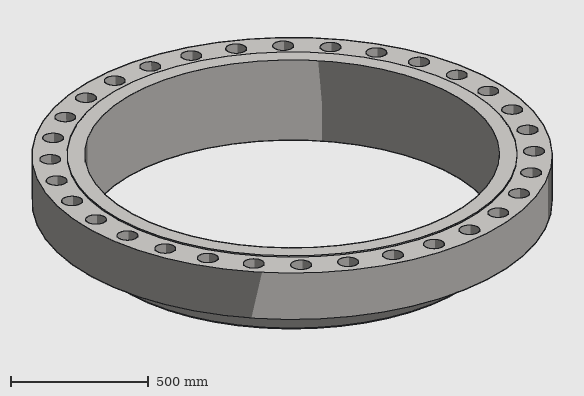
import cadquery as cq

outer_diameter = 1886.0
bore_diameter = 1503.0
flange_thickness = 189.0

face_diameter = 1631.0
face_height = 5.0

total_height = 326.0
hub_root_diameter = 1588.0
hub_end_diameter = 1533.0
root_fillet = 13.0
weld_bevel = 8.0

bolt_count = 32
bolt_circle_diameter = 1754.0
bolt_hole_diameter = 75.0

flange_top = total_height - face_height
flange_bottom = flange_top - flange_thickness


def revolved_body():
    """Revolve the half section of flange, raised face and hub about Z."""
    bore_radius = bore_diameter / 2
    section = (
        cq.Workplane("XZ")
        .moveTo(bore_radius, 0)
        .lineTo(hub_end_diameter / 2 - weld_bevel, 0)
        .lineTo(hub_end_diameter / 2, weld_bevel)
        .lineTo(hub_root_diameter / 2, flange_bottom)
        .lineTo(outer_diameter / 2, flange_bottom)
        .lineTo(outer_diameter / 2, flange_top)
        .lineTo(face_diameter / 2, flange_top)
        .lineTo(face_diameter / 2, total_height)
        .lineTo(bore_radius, total_height)
        .close()
    )
    return section.revolve(360, (0, 0, 0), (0, 1, 0))


def fillet_hub_root(body):
    """Round the inside corner where the hub meets the flange."""
    root_radius = hub_root_diameter / 2
    tolerance = 2.0
    root = cq.selectors.BoxSelector(
        (-root_radius - tolerance, -root_radius - tolerance, flange_bottom - tolerance),
        (root_radius + tolerance, root_radius + tolerance, flange_bottom + tolerance),
        boundingbox=True,
    )
    return body.edges(root).fillet(root_fillet)


def bolt_holes():
    """Through holes evenly spaced on the bolt circle, the first on +X."""
    return (
        cq.Workplane("XY")
        .polarArray(bolt_circle_diameter / 2, 0, 360, bolt_count)
        .circle(bolt_hole_diameter / 2)
        .extrude(total_height)
    )


result = fillet_hub_root(revolved_body()).cut(bolt_holes())